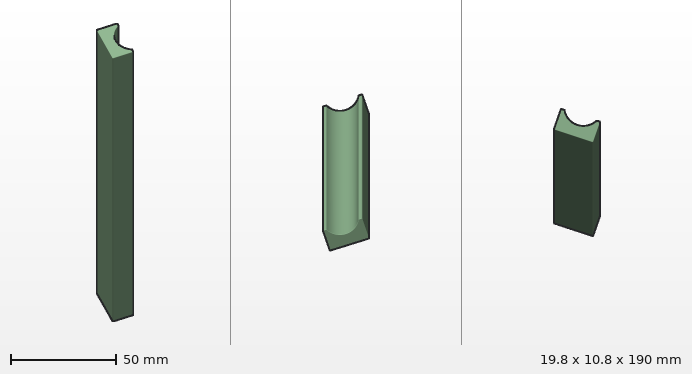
import cadquery as cq

width = 19.8
depth = 10.8
length = 190.0

channel_radius = 9.0
channel_depth = 5.0

corner_radius = 0.5
lip_radius = 0.25
end_radius = 0.25


def make_bar():
    bar = cq.Workplane("XY").box(width, depth, length, centered=(True, True, False))
    return bar.edges("|Z").fillet(corner_radius)


def cut_channel(bar):
    channel_centre_y = depth / 2 - channel_depth + channel_radius
    channel = cq.Workplane("XY").center(0, channel_centre_y).circle(channel_radius).extrude(length)
    return bar.cut(channel)


def round_channel_lips(bar):
    inner_half_width = width / 2 - 2 * corner_radius
    lip_zone = cq.selectors.BoxSelector(
        (-inner_half_width, depth / 2 - corner_radius, 0),
        (inner_half_width, depth / 2 + corner_radius, length),
    )
    return bar.edges("|Z").edges(lip_zone).fillet(lip_radius)


def round_ends(bar):
    return bar.faces("<Z or >Z").edges().fillet(end_radius)


result = round_ends(round_channel_lips(cut_channel(make_bar())))